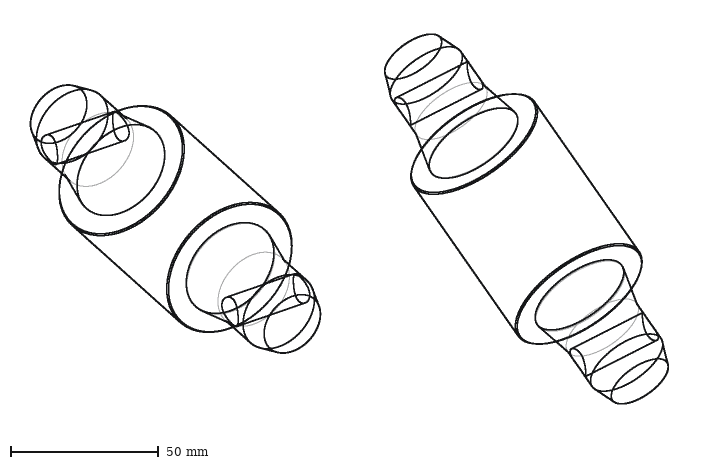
import cadquery as cq

length = 150.0
body_diameter = 50.0
body_length = 70.0
body_chamfer = 0.5

journal_diameter = 28.5
tip_diameter = 22.5
tip_length = 8.7
flare_length = 14.5
flare_diameter = 35.0
flare_land = 0.5

hole_diameter = 10.5
hole_spacing = 116.0

half_length = length / 2
half_body = body_length / 2
flare_end = half_body + flare_land + flare_length


def make_body():
    body = cq.Workplane("YZ", origin=(-half_body, 0, 0)).circle(body_diameter / 2).extrude(body_length)
    return body.faces("<X or >X").edges().chamfer(body_chamfer)


def make_shaft():
    """Revolve the shaft with tapered tips and conical flares at the body."""
    right_profile = [
        (half_body + flare_land, flare_diameter / 2),
        (flare_end, journal_diameter / 2),
        (half_length - tip_length, journal_diameter / 2),
        (half_length, tip_diameter / 2),
        (half_length, 0),
    ]
    left_profile = [(-x, radius) for x, radius in reversed(right_profile)]
    return (
        cq.Workplane("XY")
        .polyline(left_profile + right_profile)
        .close()
        .revolve(360, (0, 0, 0), (1, 0, 0))
    )


def make_cross_holes():
    return (
        cq.Workplane("XZ")
        .pushPoints([(-hole_spacing / 2, 0), (hole_spacing / 2, 0)])
        .circle(hole_diameter / 2)
        .extrude(body_diameter, both=True)
    )


result = make_body().union(make_shaft()).cut(make_cross_holes())